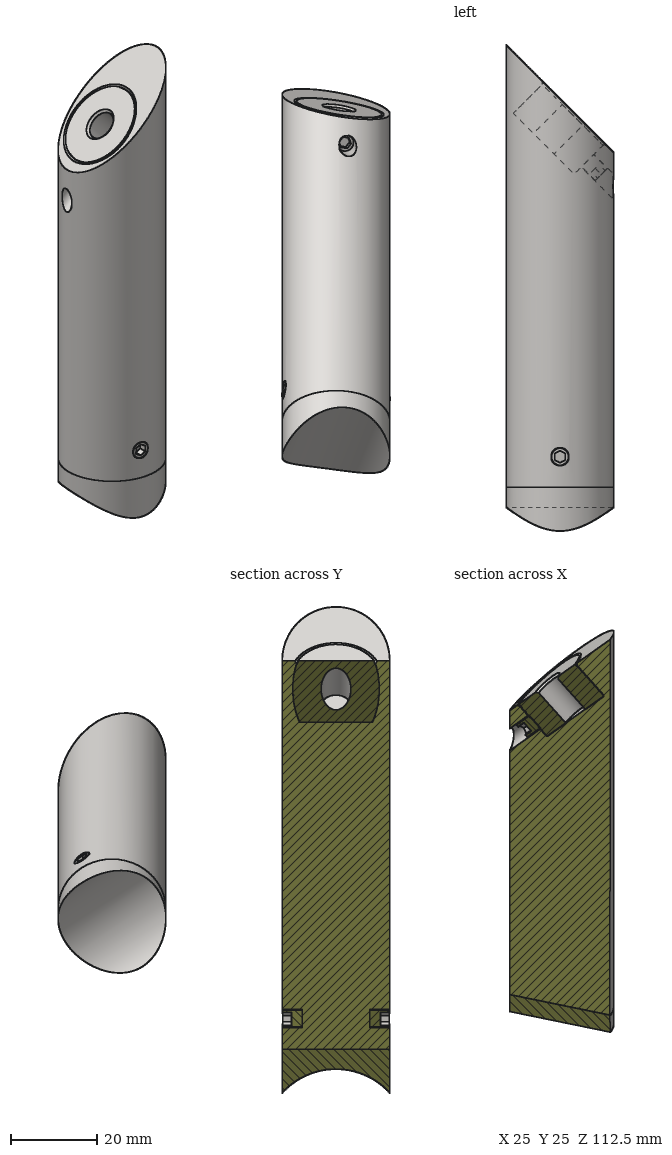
import cadquery as cq
import math

rod_diameter = 25.0
total_height = 112.5
foot_height = 10.1
saddle_radius = 16.9

slope_angle = 45.0
recess_offset = 4.6
disc_diameter = 19.9
disc_thickness = 10.0
disc_bore_diameter = 6.8
edge_chamfer = 0.6

screw_hole_diameter = 4.2
screw_diameter = 3.9
screw_length = 4.5
socket_flats = 2.5
socket_depth = 2.0
side_screw_height = 7.1
side_screw_inset = 0.1
clamp_axis_depth = 5.6

rod_radius = rod_diameter / 2
slope_sin = math.sin(math.radians(slope_angle))
slope_cos = math.cos(math.radians(slope_angle))
slope_centre_height = total_height - rod_radius * math.tan(math.radians(slope_angle))
saddle_axis_height = -math.sqrt(saddle_radius**2 - rod_radius**2)
side_screw_z = foot_height + side_screw_height

slope_plane = cq.Plane(
    origin=(0, 0, slope_centre_height), xDir=(1, 0, 0), normal=(0, -slope_sin, slope_cos)
)
disc_plane = cq.Plane(
    origin=slope_plane.toWorldCoords((0, -recess_offset, 0)),
    xDir=slope_plane.xDir,
    normal=slope_plane.zDir,
)

side_screw_planes = [
    cq.Plane(
        origin=(side * (rod_radius - side_screw_inset), 0, side_screw_z),
        xDir=(0, 0, 1),
        normal=(side, 0, 0),
    )
    for side in (-1, 1)
]
clamp_end = -disc_diameter / 2 - screw_length
clamp_plane = cq.Plane(
    origin=disc_plane.toWorldCoords((0, clamp_end, -clamp_axis_depth)),
    xDir=slope_plane.xDir,
    normal=-slope_plane.yDir,
)
screw_planes = side_screw_planes + [clamp_plane]


def make_screw_hole(plane):
    """Straight hole around a screw, running from the screw's inner end out past the rod surface."""
    return (
        cq.Workplane(plane)
        .workplane(offset=-screw_length)
        .circle(screw_hole_diameter / 2)
        .extrude(screw_length + rod_diameter)
    )


def make_chamfered_bore(diameter):
    """Bore into the slanted face, one disc thickness deep, with a chamfered mouth."""
    bore = cq.Workplane(disc_plane).circle(diameter / 2).extrude(-disc_thickness)
    countersink = cq.Solid.makeCone(
        diameter / 2 + edge_chamfer,
        diameter / 2,
        edge_chamfer,
        pnt=disc_plane.origin,
        dir=-disc_plane.zDir,
    )
    return bore.union(cq.Workplane(countersink))


def make_rod():
    """Solid rod with a slanted top, a recess for the disc and the screw holes."""
    rod = (
        cq.Workplane("XY")
        .workplane(offset=foot_height)
        .circle(rod_radius)
        .extrude(total_height - foot_height)
    )
    above_slope = cq.Workplane(slope_plane).rect(total_height, total_height).extrude(total_height)
    rod = rod.cut(above_slope).cut(make_chamfered_bore(disc_diameter))
    for plane in screw_planes:
        rod = rod.cut(make_screw_hole(plane))
    return rod


def make_foot():
    """Short end piece with a saddle cut across its underside."""
    foot = cq.Workplane("XY").circle(rod_radius).extrude(foot_height)
    saddle = (
        cq.Workplane("XZ")
        .center(0, saddle_axis_height)
        .circle(saddle_radius)
        .extrude(rod_diameter, both=True)
    )
    return foot.cut(saddle)


def make_disc():
    """Disc flush with the slanted face, with a chamfered through bore."""
    disc = cq.Workplane(disc_plane).circle(disc_diameter / 2).extrude(-disc_thickness)
    return disc.cut(make_chamfered_bore(disc_bore_diameter))


def make_screw(plane):
    """Headless set screw with a hexagon socket."""
    screw = cq.Workplane(plane).circle(screw_diameter / 2).extrude(-screw_length)
    hexagon_sides = 6
    corner_diameter = socket_flats / math.cos(math.pi / hexagon_sides)
    socket = cq.Workplane(plane).polygon(hexagon_sides, corner_diameter).extrude(-socket_depth)
    return screw.cut(socket)


rod = make_rod()
foot = make_foot()
disc = make_disc()
screws = [make_screw(plane) for plane in screw_planes]

result = cq.Compound.makeCompound(
    [rod.val(), foot.val(), disc.val(), *[screw.val() for screw in screws]]
)